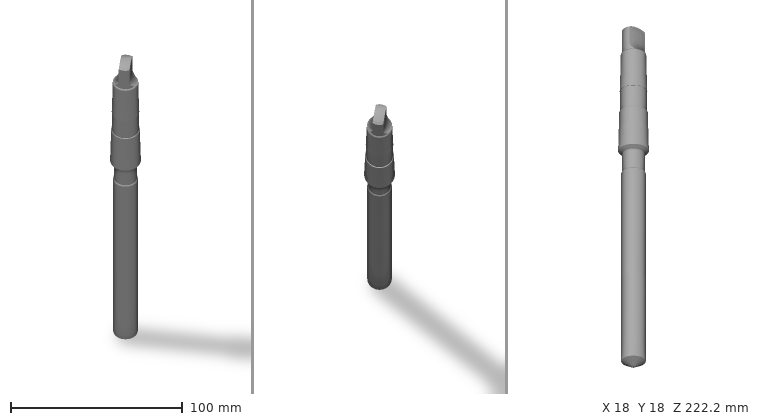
import cadquery as cq
import math

TOTAL_LENGTH = 222.25

DRILL_DIAMETER = 14.29
POINT_ANGLE = 118
CUTTING_LENGTH = 58.6

DRILL_BODY_TOP = 128.2
DRILL_BODY_CHAMFER_HEIGHT = 0.7
NECK_DIAMETER = 13.18

SHANK_LENGTH = 80.0
SHANK_LARGE_DIAMETER = 17.97
TAPER_RATIO = 0.04995
COLLAR_CONE_HEIGHT = 1.8
RELIEF_DIAMETER = 15.5
RELIEF_BOTTOM_DEPTH = 55.0
RELIEF_TOP_DEPTH = 41.0
SMALL_END_CHAMFER = 0.7

TANG_LENGTH = 16.3
TANG_DIAMETER = 13.5
TANG_THICKNESS = 6.3
TANG_FLAT_LENGTH = 11.2
TANG_RUNOUT_RADIUS = 6.0
TANG_TOP_CHAMFER = 1.5
TANG_TOP_CHAMFER_HEIGHT = 0.7
TANG_DOME_HEIGHT = 0.8
TANG_ANGLE = 54

drill_radius = DRILL_DIAMETER / 2
neck_radius = NECK_DIAMETER / 2
relief_radius = RELIEF_DIAMETER / 2
tang_radius = TANG_DIAMETER / 2
point_height = drill_radius / math.tan(math.radians(POINT_ANGLE / 2))
shank_bottom = TOTAL_LENGTH - SHANK_LENGTH
relief_bottom = TOTAL_LENGTH - RELIEF_BOTTOM_DEPTH
relief_top = TOTAL_LENGTH - RELIEF_TOP_DEPTH
tang_bottom = TOTAL_LENGTH - TANG_LENGTH
dome_bottom = TOTAL_LENGTH - TANG_DOME_HEIGHT
dome_radius = tang_radius - TANG_TOP_CHAMFER
dome_sphere_radius = (dome_radius**2 + TANG_DOME_HEIGHT**2) / (2 * TANG_DOME_HEIGHT)
flat_bottom = TOTAL_LENGTH - TANG_FLAT_LENGTH


def taper_radius(z):
    """Radius of the shank's taper at height z."""
    return (SHANK_LARGE_DIAMETER - TAPER_RATIO * (z - shank_bottom)) / 2


def revolve_profile(points):
    """Solid of revolution about Z from (radius, z) points."""
    return cq.Workplane("XZ").polyline(points).close().revolve(360, (0, 0, 0), (0, 1, 0))


def make_cutting_body():
    """Cylindrical cutting end with a conical point."""
    return revolve_profile([
        (0, 0),
        (drill_radius, point_height),
        (drill_radius, CUTTING_LENGTH),
        (0, CUTTING_LENGTH),
    ])


def make_tang_cutter():
    """Material removed beside one tang flat, with a rounded run-out at its lower end."""
    half_thickness = TANG_THICKNESS / 2
    arc_middle = TANG_RUNOUT_RADIUS * math.sqrt(0.5)
    arc_center_x = half_thickness + TANG_RUNOUT_RADIUS
    return (
        cq.Workplane("XZ")
        .moveTo(half_thickness, TOTAL_LENGTH)
        .lineTo(half_thickness, flat_bottom)
        .threePointArc(
            (arc_center_x - arc_middle, flat_bottom - arc_middle),
            (arc_center_x, flat_bottom - TANG_RUNOUT_RADIUS),
        )
        .lineTo(arc_center_x, TOTAL_LENGTH)
        .close()
        .extrude(TANG_DIAMETER, both=True)
    )


def make_dome():
    """Shallow spherical cap on the end of the tang."""
    middle_angle = math.asin(dome_radius / dome_sphere_radius) / 2
    sphere_center = TOTAL_LENGTH - dome_sphere_radius
    arc_middle = (
        dome_sphere_radius * math.sin(middle_angle),
        sphere_center + dome_sphere_radius * math.cos(middle_angle),
    )
    return (
        cq.Workplane("XZ")
        .moveTo(0, dome_bottom)
        .lineTo(dome_radius, dome_bottom)
        .threePointArc(arc_middle, (0, TOTAL_LENGTH))
        .close()
        .revolve(360, (0, 0, 0), (0, 1, 0))
    )


def make_shank():
    """Drill body, neck, tapered shank and tang."""
    small_end_radius = taper_radius(tang_bottom)
    shank = revolve_profile([
        (0, CUTTING_LENGTH),
        (drill_radius, CUTTING_LENGTH),
        (drill_radius, DRILL_BODY_TOP - DRILL_BODY_CHAMFER_HEIGHT),
        (neck_radius, DRILL_BODY_TOP),
        (neck_radius, shank_bottom - COLLAR_CONE_HEIGHT),
        (SHANK_LARGE_DIAMETER / 2, shank_bottom),
        (taper_radius(relief_bottom), relief_bottom),
        (relief_radius, relief_bottom),
        (relief_radius, relief_top),
        (taper_radius(relief_top), relief_top),
        (taper_radius(tang_bottom - SMALL_END_CHAMFER), tang_bottom - SMALL_END_CHAMFER),
        (small_end_radius - SMALL_END_CHAMFER, tang_bottom),
        (tang_radius, tang_bottom),
        (tang_radius, dome_bottom - TANG_TOP_CHAMFER_HEIGHT),
        (dome_radius, dome_bottom),
        (0, dome_bottom),
    ])
    shank = shank.union(make_dome())
    for side_angle in (0, 180):
        cutter = make_tang_cutter().rotate((0, 0, 0), (0, 0, 1), TANG_ANGLE + side_angle)
        shank = shank.cut(cutter)
    return shank


cutting_body = make_cutting_body()
shank = make_shank()

result = cq.Compound.makeCompound([cutting_body.val(), shank.val()])